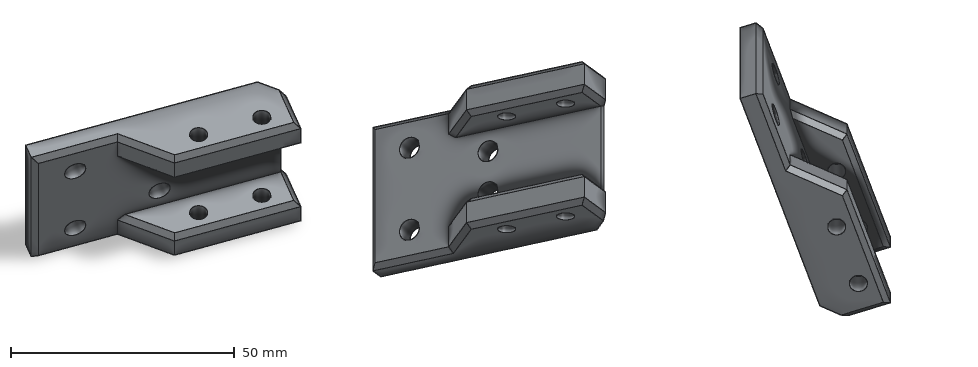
import cadquery as cq
import math

width = 15.0
length = 60.0
height = 35.0

plate_thickness = 5.0
arm_thickness = 7.5
arm_slope_start = 20.0
corner_bevel = plate_thickness
edge_chamfer = 1.25

plate_hole_diameter = 5.0
wide_pair_y = 10.0
wide_pair_spacing = 20.0
narrow_pair_y = 30.0
narrow_pair_spacing = 10.0

arm_hole_diameter = 4.0
arm_hole_x = 10.0
arm_hole_end_distance = 7.5
arm_hole_spacing = 15.0

arm_reach = width - plate_thickness
arm_slope_end = arm_slope_start + arm_reach
arm_gap = height - 2 * arm_thickness
gap_bottom = arm_thickness
gap_top = gap_bottom + arm_gap
middle_z = height / 2
tolerance = 0.01


def make_blank():
    """The side profile extruded to full height."""
    profile = [
        (0, 0),
        (plate_thickness, 0),
        (plate_thickness, arm_slope_start),
        (width, arm_slope_end),
        (width, length),
        (corner_bevel, length),
        (0, length - corner_bevel),
    ]
    return cq.Workplane("XY").polyline(profile).close().extrude(height)


def chamfer_where(body, is_wanted):
    """Chamfer the edges whose bounding box passes the test."""
    edges = [edge for edge in body.edges().vals() if is_wanted(edge.BoundingBox())]
    return body.newObject(edges).chamfer(edge_chamfer)


def is_outer_rim(box):
    """Rims of the top and bottom faces beyond the plate, and the inner edge of its -Y end."""
    beyond_plate = box.xmin > plate_thickness - tolerance
    on_bottom = box.zmax < tolerance
    on_top = box.zmin > height - tolerance
    at_plate_end = box.ymax < tolerance
    return beyond_plate and (on_bottom or on_top or at_plate_end)


def is_inner_rim(box):
    """Rims of the arm faces that look into the gap."""
    reaches_tip = box.xmax > width - tolerance
    on_lower_arm = abs(box.zmin - gap_bottom) < tolerance and abs(box.zmax - gap_bottom) < tolerance
    on_upper_arm = abs(box.zmin - gap_top) < tolerance and abs(box.zmax - gap_top) < tolerance
    return reaches_tip and (on_lower_arm or on_upper_arm)


def cut_gap(body):
    gap = cq.Workplane("XY").box(arm_reach, length, arm_gap, centered=False)
    return body.cut(gap.translate((plate_thickness, 0, gap_bottom)))


def chamfer_plate_tip(body):
    """Chamfer the plate's sharp +Y edge between the arms, mitred into the arms' inner chamfers."""
    bevel_step = edge_chamfer * math.sqrt(0.5)
    wedge_points = [
        (plate_thickness, length),
        (plate_thickness, length - edge_chamfer),
        (plate_thickness - bevel_step, length - bevel_step),
    ]
    wedge = cq.Workplane("XY").polyline(wedge_points).close().extrude(height)
    mitre_points = [
        (length - edge_chamfer, gap_bottom),
        (length, gap_bottom - edge_chamfer),
        (length, gap_top + edge_chamfer),
        (length - edge_chamfer, gap_top),
    ]
    mitre = cq.Workplane("YZ").polyline(mitre_points).close().extrude(plate_thickness)
    return body.cut(wedge.intersect(mitre))


def drill_plate(body):
    """A wide and a narrow pair of holes, each centred on the plate's height."""
    pairs = [(wide_pair_y, wide_pair_spacing), (narrow_pair_y, narrow_pair_spacing)]
    for pair_y, spacing in pairs:
        centers = [(pair_y, middle_z + side * spacing / 2) for side in (-1, 1)]
        holes = cq.Workplane("YZ").pushPoints(centers).circle(plate_hole_diameter / 2).extrude(width)
        body = body.cut(holes)
    return body


def drill_arms(body):
    first_y = length - arm_hole_end_distance
    centers = [(arm_hole_x, first_y), (arm_hole_x, first_y - arm_hole_spacing)]
    holes = cq.Workplane("XY").pushPoints(centers).circle(arm_hole_diameter / 2).extrude(height)
    return body.cut(holes)


bracket = chamfer_where(make_blank(), is_outer_rim)
bracket = cut_gap(bracket)
bracket = chamfer_where(bracket, is_inner_rim)
bracket = chamfer_plate_tip(bracket)
bracket = drill_plate(bracket)
result = drill_arms(bracket)